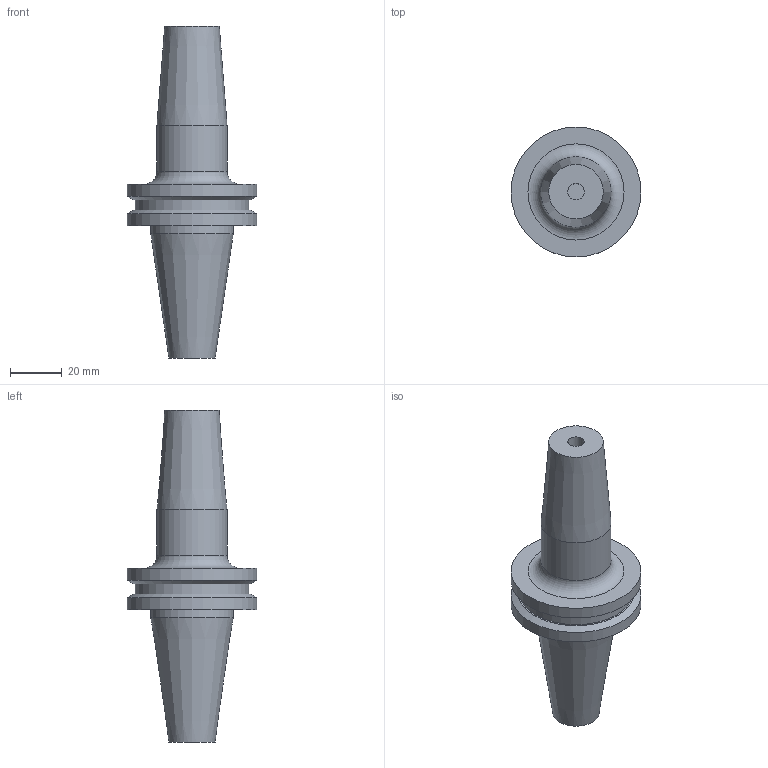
import cadquery as cq
import math

GAUGE_DIAMETER = 31.75
TAPER_RATIO = 7 / 24
TAPER_LENGTH = 47.8
SHANK_END_DIAMETER = GAUGE_DIAMETER - TAPER_RATIO * TAPER_LENGTH

FLANGE_DIAMETER = 50.0
FLANGE_BOTTOM = 3.2
FLANGE_TOP = 19.1
GROOVE_HEIGHT = 11.1
GROOVE_FLOOR_DIAMETER = 43.7
GROOVE_FLOOR_WIDTH = 3.9
GROOVE_CHAMFER_WIDTH = 2.5
GROOVE_CHAMFER_ANGLE = 30.0

BODY_DIAMETER = 27.0
BODY_FILLET = 5.0
NOSE_TIP_DIAMETER = 21.0
NOSE_LENGTH = 38.2
NOSE_TOP = 80.0

BORE_DIAMETER = 6.35
BORE_DEPTH = 36.0


def make_body():
    """Revolve the half outline of the holder about the Z axis."""
    gauge_radius = GAUGE_DIAMETER / 2
    flange_radius = FLANGE_DIAMETER / 2
    body_radius = BODY_DIAMETER / 2
    fillet_top = FLANGE_TOP + BODY_FILLET
    return (
        cq.Workplane("XZ")
        .moveTo(0, -TAPER_LENGTH)
        .lineTo(SHANK_END_DIAMETER / 2, -TAPER_LENGTH)
        .lineTo(gauge_radius, 0)
        .lineTo(gauge_radius, FLANGE_BOTTOM)
        .lineTo(flange_radius, FLANGE_BOTTOM)
        .lineTo(flange_radius, FLANGE_TOP)
        .lineTo(body_radius + BODY_FILLET, FLANGE_TOP)
        .radiusArc((body_radius, fillet_top), BODY_FILLET)
        .lineTo(body_radius, NOSE_TOP - NOSE_LENGTH)
        .lineTo(NOSE_TIP_DIAMETER / 2, NOSE_TOP)
        .lineTo(0, NOSE_TOP)
        .close()
        .revolve(360, (0, 0, 0), (0, 1, 0))
    )


def make_gripper_groove():
    """Ring cutter: a square-sided groove with a chamfered lip on each side."""
    rim_radius = FLANGE_DIAMETER / 2
    floor_radius = GROOVE_FLOOR_DIAMETER / 2
    ledge_radius = rim_radius - GROOVE_CHAMFER_WIDTH
    half_floor = GROOVE_FLOOR_WIDTH / 2
    half_mouth = half_floor + GROOVE_CHAMFER_WIDTH * math.tan(math.radians(GROOVE_CHAMFER_ANGLE))
    return (
        cq.Workplane("XZ")
        .moveTo(floor_radius, GROOVE_HEIGHT - half_floor)
        .lineTo(ledge_radius, GROOVE_HEIGHT - half_floor)
        .lineTo(rim_radius, GROOVE_HEIGHT - half_mouth)
        .lineTo(rim_radius, GROOVE_HEIGHT + half_mouth)
        .lineTo(ledge_radius, GROOVE_HEIGHT + half_floor)
        .lineTo(floor_radius, GROOVE_HEIGHT + half_floor)
        .close()
        .revolve(360, (0, 0, 0), (0, 1, 0))
    )


def make_tool_bore():
    """Cylinder that drills the flat-bottomed bore down from the nose face."""
    return cq.Workplane("XY").workplane(offset=NOSE_TOP).circle(BORE_DIAMETER / 2).extrude(-BORE_DEPTH)


result = make_body().cut(make_gripper_groove()).cut(make_tool_bore())